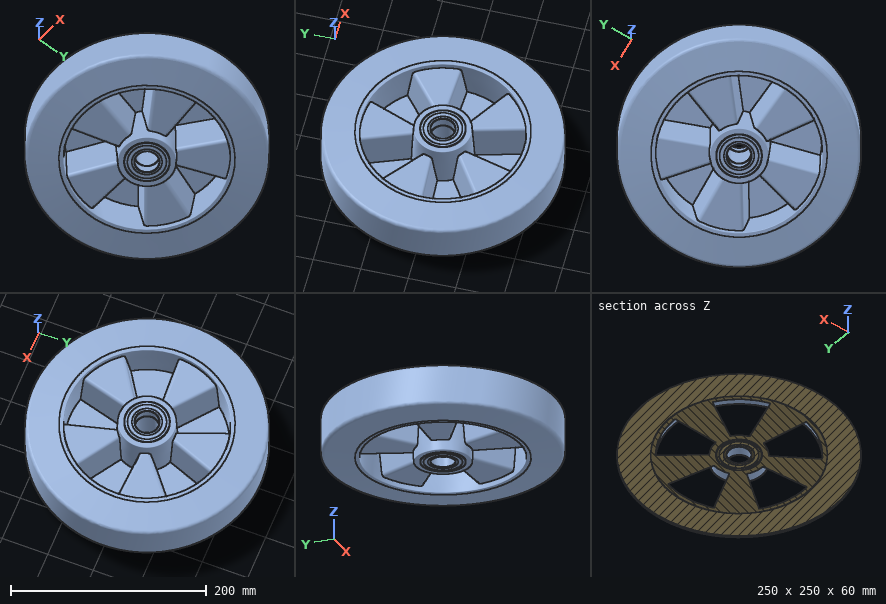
import cadquery as cq
import math


WHEEL_RADIUS = 125.0
TYRE_INNER_RADIUS = 90.0
TYRE_INNER_HALF_WIDTH = 25.0
TYRE_OUTER_HALF_WIDTH = 22.0
TYRE_EDGE_ROUND = 4.0

HUB_HALF_LENGTH = 30.0
HUB_TIP_RADIUS = 30.0
HUB_ROOT_RADIUS = 32.5
HUB_EDGE_ROUND = 0.8
RIM_HALF_WIDTH = TYRE_INNER_HALF_WIDTH
RIM_MOUTH_RADIUS = 85.2
RIM_ROOT_RADIUS = 84.5
RIM_EDGE_ROUND = 0.8

SECTOR_PAIRS = 5
PAIR_ANGLE = 360 / SECTOR_PAIRS
FIRST_RAISED_ANGLE = 90.0
FIRST_SUNK_ANGLE = FIRST_RAISED_ANGLE + PAIR_ANGLE / 2
WEB_HALF_HEIGHT = 19.0
WEB_THICKNESS = 3.0
POCKET_DEPTH_LEVEL = WEB_HALF_HEIGHT - WEB_THICKNESS
WALL_DRAFT = 10.0
WEB_EDGE_ROUND = 4.0
RAISED_HALF_ANGLE = 21.0
SUNK_HALF_ANGLE = PAIR_ANGLE / 2 - RAISED_HALF_ANGLE
RIDGE_START = 20.0
RIDGE_END = 112.5

RAISED_WALL_OFFSET = 0.2
SUNK_WALL_OFFSET = (
    2 * POCKET_DEPTH_LEVEL * math.tan(math.radians(WALL_DRAFT))
    - RAISED_WALL_OFFSET
    + WEB_THICKNESS / math.cos(math.radians(WALL_DRAFT))
)

BORE_RADIUS = 12.5
INNER_RING_RADIUS = 15.5
SEAL_RADIUS = 20.0
BEARING_RADIUS = 23.5
BEARING_WIDTH = 12.0
BEARING_CHAMFER = 0.5
BEARING_BASE = HUB_HALF_LENGTH - BEARING_WIDTH


def tube(outer_radius, inner_radius, bottom, height):
    """Plain tube on the wheel axis, starting at the level given by bottom."""
    return cq.Workplane("XY").workplane(offset=bottom).circle(outer_radius).circle(inner_radius).extrude(height)


def upside_down(body):
    """Turn a body half a turn about the X axis."""
    return body.rotate((0, 0, 0), (1, 0, 0), 180)


def make_tyre():
    """Tyre with slightly conical side faces and rounded tread edges."""
    profile = [
        (TYRE_INNER_RADIUS, -TYRE_INNER_HALF_WIDTH),
        (WHEEL_RADIUS, -TYRE_OUTER_HALF_WIDTH),
        (WHEEL_RADIUS, TYRE_OUTER_HALF_WIDTH),
        (TYRE_INNER_RADIUS, TYRE_INNER_HALF_WIDTH),
    ]
    tyre = cq.Workplane("XZ").polyline(profile).close().revolve(360, (0, 0), (0, 1))
    tread_edges = cq.selectors.RadiusNthSelector(-1)
    return tyre.edges("%CIRCLE").edges(tread_edges).fillet(TYRE_EDGE_ROUND)


def make_web_ridge(half_angle, wall_offset, direction):
    """Wedge with drafted, rounded sides that rises from the pocket floor to the web's outer face."""

    def half_width(distance):
        angle = math.radians(half_angle)
        return distance * math.tan(angle) + wall_offset / math.cos(angle)

    start = half_width(RIDGE_START)
    end = half_width(RIDGE_END)
    outline = [(RIDGE_START, -start), (RIDGE_END, -end), (RIDGE_END, end), (RIDGE_START, start)]
    ridge = (
        cq.Workplane("XY")
        .workplane(offset=-POCKET_DEPTH_LEVEL)
        .polyline(outline)
        .close()
        .extrude(POCKET_DEPTH_LEVEL + WEB_HALF_HEIGHT, taper=WALL_DRAFT)
    )
    ridge = ridge.faces(">Z").edges("not |Y").fillet(WEB_EDGE_ROUND)
    return ridge.rotate((0, 0, 0), (0, 0, 1), direction)


def make_face_cavity(half_angle, wall_offset, first_direction):
    """Everything removed from the upper face of the core between hub and rim."""
    hub_edge = HUB_TIP_RADIUS - HUB_EDGE_ROUND
    rim_edge = RIM_MOUTH_RADIUS + RIM_EDGE_ROUND
    cavity = (
        cq.Workplane("XZ")
        .moveTo(HUB_ROOT_RADIUS, -POCKET_DEPTH_LEVEL)
        .lineTo(RIM_ROOT_RADIUS, -POCKET_DEPTH_LEVEL)
        .lineTo(RIM_MOUTH_RADIUS, RIM_HALF_WIDTH - RIM_EDGE_ROUND)
        .radiusArc((rim_edge, RIM_HALF_WIDTH), RIM_EDGE_ROUND)
        .lineTo(TYRE_INNER_RADIUS, RIM_HALF_WIDTH)
        .lineTo(TYRE_INNER_RADIUS, HUB_HALF_LENGTH)
        .lineTo(hub_edge, HUB_HALF_LENGTH)
        .radiusArc((HUB_TIP_RADIUS, HUB_HALF_LENGTH - HUB_EDGE_ROUND), HUB_EDGE_ROUND)
        .close()
        .revolve(360, (0, 0), (0, 1))
    )
    for index in range(SECTOR_PAIRS):
        direction = first_direction + index * PAIR_ANGLE
        cavity = cavity.cut(make_web_ridge(half_angle, wall_offset, direction))
    return cavity


def make_core():
    """Hub, folded web and rim, with a stepped bore for the spacer and both bearings."""
    blank = tube(TYRE_INNER_RADIUS, INNER_RING_RADIUS, -HUB_HALF_LENGTH, 2 * HUB_HALF_LENGTH)
    upper_cavity = make_face_cavity(RAISED_HALF_ANGLE, RAISED_WALL_OFFSET, FIRST_RAISED_ANGLE)
    lower_cavity = upside_down(make_face_cavity(SUNK_HALF_ANGLE, SUNK_WALL_OFFSET, -FIRST_SUNK_ANGLE))
    seat = tube(BEARING_RADIUS, BORE_RADIUS, BEARING_BASE, BEARING_WIDTH)
    return blank.cut(upper_cavity).cut(lower_cavity).cut(seat).cut(upside_down(seat))


def make_outer_ring():
    """Outer bearing ring with chamfered outer edges."""
    ring = tube(BEARING_RADIUS, SEAL_RADIUS, BEARING_BASE, BEARING_WIDTH)
    return ring.edges(cq.selectors.RadiusNthSelector(-1)).chamfer(BEARING_CHAMFER)


def make_seal():
    """Sealed space between the bearing rings."""
    return tube(SEAL_RADIUS, INNER_RING_RADIUS, BEARING_BASE, BEARING_WIDTH)


def make_inner_ring():
    """Inner bearing ring with chamfered bore edges."""
    ring = tube(INNER_RING_RADIUS, BORE_RADIUS, BEARING_BASE, BEARING_WIDTH)
    return ring.edges(cq.selectors.RadiusNthSelector(0)).chamfer(BEARING_CHAMFER)


def make_spacer():
    """Tube that keeps the inner bearing rings apart."""
    return tube(INNER_RING_RADIUS, BORE_RADIUS, -BEARING_BASE, 2 * BEARING_BASE)


tyre = make_tyre()
core = make_core()
spacer = make_spacer()

bearing_parts = []
for make_part in (make_outer_ring, make_seal, make_inner_ring):
    upper_part = make_part()
    lower_part = upside_down(upper_part)
    bearing_parts += [upper_part.val(), lower_part.val()]

result = cq.Compound.makeCompound([tyre.val(), core.solids().val(), spacer.val(), *bearing_parts])